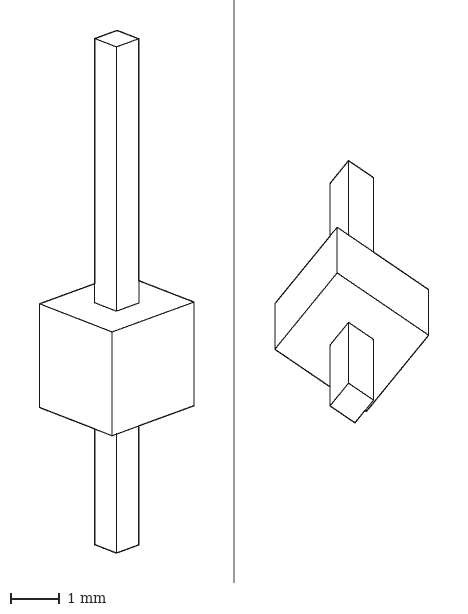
import cadquery as cq

pin_length = 11.18
pin_width = 0.64

block_width = 2.14
block_depth = 2.34
block_height = 2.29
tail_length = 3.05


def upright_box(width, depth, height, bottom):
    """Box centred on the Z axis, rising from the given bottom height."""
    return cq.Workplane("XY").workplane(offset=bottom).rect(width, depth).extrude(height)


pin = upright_box(pin_width, pin_width, pin_length, 0)
block = upright_box(block_width, block_depth, block_height, tail_length)

result = pin.union(block)